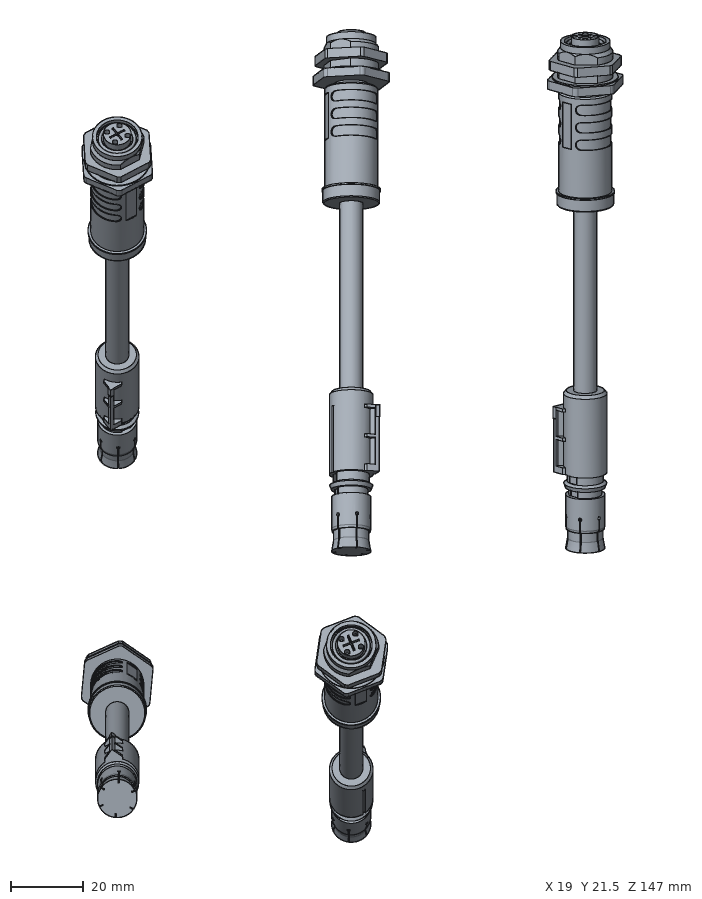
import cadquery as cq
import math

TOP_Z = 147
COLLAR_TOP_Z = 145.7
COLLAR_BOTTOM_Z = 143.8
THREAD_TOP_Z = 142.7
NUT_TOP_Z, NUT_BOTTOM_Z = 140.7, 138.0
FLANGE_TOP_Z, FLANGE_BOTTOM_Z = 135.1, 132.6
BODY_TOP_Z, BODY_BOTTOM_Z = 131.4, 102.6
CUFF_BOTTOM_Z = 98.6

SLEEVE_TOP_Z, SLEEVE_BOTTOM_Z = 45.3, 21.8
RING_TOP_Z, RING_BOTTOM_Z = 19.3, 17.5
COLLET_TOP_Z = 15.5
GROOVE_TOP_Z = 5.6
FLARE_TOP_Z = 3

PLUG_R = 7.6 / 2
COLLAR_R = 13.7 / 2
THREAD_R = 15.3 / 2
SEAL_R = 18.2 / 2
NECK_R = 9.1 / 2
BODY_R = 14.7 / 2
LIP_R = 16.2 / 2
CUFF_R = 15.7 / 2
CABLE_R = 6.5 / 2
SLEEVE_R = 12.0 / 2
UPPER_NECK_R = 10.0 / 2
LOWER_NECK_R = 9.1 / 2
RING_R = 11.9 / 2
COLLET_R = 10.9 / 2
COLLET_GROOVE_R = 9.8 / 2

SEAT_R = 5.7
SEAT_DEPTH = 1.2
O_RING_R = 9.5 / 2
O_RING_SECTION_R = 0.51
CONTACT_OFFSET = 2.0
CONTACT_R = 0.7
CONTACT_DEPTH = 3
CROSS_LENGTH = 4.7
CROSS_WIDTH = 0.5
CROSS_DEPTH = 1.5

THREAD_FLAT_ANGLES = (0, 45, 180, 225)
THREAD_FLAT_DISTANCE = COLLAR_R
NUT_ACROSS_FLATS = 18.1
NUT_CORNER_R = 10.1
FLANGE_ACROSS_FLATS = 19.0
FLANGE_CORNER_FILLET = 1.5
SEAL_HEIGHT = 0.37

GRIP_DEPTH = 0.3
GRIP_HEIGHT = 3
GRIP_PITCH = 5.0
GRIP_COUNT = 3
GRIP_TOP_Z = 129.2
GRIP_END_Y = 3
PANEL_WIDTH = 3.4

HOLDER_REACH = 6.2
HOLDER_BEVEL = 0.6
HOLDER_ARM_START = 2.0
HOLDER_POST = 1.0
HOLDER_WEB = 0.5
HOLDER_PAD_REACH = 6.3
HOLDER_PAD_HEIGHT = 3.4
HOLDER_TOP_Z = 40.5
HOLDER_ARMS = ((39.7, HOLDER_TOP_Z), (31.3, 32.2), (SLEEVE_BOTTOM_Z, 23.7))
SLOT_Y = -1.5
SLOT_WIDTH = 0.7
SLOT_DEPTH = 0.6

COLLET_SLIT_COUNT = 6
COLLET_SLIT_WIDTH = 0.3
COLLET_SLIT_DEPTH = 1.0
RELIEF_HOLE_R = 0.5
RELIEF_HOLE_Z = 9.5
KEY_WIDTH = 2.6
KEY_DEPTH = 0.5


def cylinder(radius, bottom, top):
    return cq.Workplane("XY").workplane(offset=bottom).circle(radius).extrude(top - bottom)


def block(x_range, y_range, z_range):
    """Box spanning the given (low, high) pairs."""
    sizes = [high - low for low, high in (x_range, y_range, z_range)]
    corner = (x_range[0], y_range[0], z_range[0])
    return cq.Workplane("XY").box(*sizes, centered=False).translate(corner)


def revolve_profile(points):
    """Solid of revolution about Z from (radius, z) points."""
    return cq.Workplane("XZ").polyline(points).close().revolve(360, (0, 0, 0), (0, 1, 0))


def hexagon(across_flats, bottom, top):
    """Hexagonal prism with flats facing +X and -X."""
    corner_diameter = across_flats / math.cos(math.pi / 6)
    prism = cq.Workplane("XY").polygon(6, corner_diameter).extrude(top - bottom)
    return prism.rotate((0, 0, 0), (0, 0, 1), 30).translate((0, 0, bottom))


def make_top_turned():
    """Turned core: plug, collar, threaded shank, neck, body and cuff."""
    lip_height = 0.5
    body_edge = 0.5
    cuff_edge = 0.3
    return revolve_profile([
        (0, TOP_Z),
        (PLUG_R, TOP_Z),
        (PLUG_R, COLLAR_TOP_Z),
        (COLLAR_R, COLLAR_TOP_Z),
        (COLLAR_R, COLLAR_BOTTOM_Z),
        (THREAD_R, THREAD_TOP_Z),
        (THREAD_R, FLANGE_TOP_Z),
        (SEAL_R, FLANGE_TOP_Z),
        (SEAL_R, FLANGE_BOTTOM_Z),
        (NECK_R, FLANGE_BOTTOM_Z),
        (NECK_R, BODY_TOP_Z),
        (BODY_R - body_edge, BODY_TOP_Z),
        (BODY_R, BODY_TOP_Z - body_edge),
        (BODY_R, BODY_BOTTOM_Z),
        (LIP_R, BODY_BOTTOM_Z),
        (LIP_R, BODY_BOTTOM_Z - lip_height),
        (CUFF_R, BODY_BOTTOM_Z - lip_height),
        (CUFF_R, CUFF_BOTTOM_Z + cuff_edge),
        (CUFF_R - cuff_edge, CUFF_BOTTOM_Z),
        (0, CUFF_BOTTOM_Z),
    ])


def cut_thread_flats(part):
    """Flats along the shank, each at the same distance from the axis."""
    for angle in THREAD_FLAT_ANGLES:
        cutter = block(
            (THREAD_FLAT_DISTANCE, THREAD_R),
            (-THREAD_R, THREAD_R),
            (FLANGE_TOP_Z, COLLAR_BOTTOM_Z),
        )
        part = part.cut(cutter.rotate((0, 0, 0), (0, 0, 1), angle))
    return part


def cut_plug_face(part):
    """Ring seat with an O-ring, four contact holes and a cross slot."""
    seat_floor = COLLAR_TOP_Z - SEAT_DEPTH
    seat = cylinder(SEAT_R, seat_floor, COLLAR_TOP_Z).cut(cylinder(PLUG_R, seat_floor, COLLAR_TOP_Z))
    o_ring = cq.Workplane("XZ").center(O_RING_R, seat_floor + O_RING_SECTION_R / 2)
    o_ring = o_ring.circle(O_RING_SECTION_R).revolve(360, (-O_RING_R, 0, 0), (-O_RING_R, 1, 0))
    contacts = cq.Workplane("XY").workplane(offset=TOP_Z - CONTACT_DEPTH)
    contacts = contacts.rect(2 * CONTACT_OFFSET, 2 * CONTACT_OFFSET, forConstruction=True)
    contacts = contacts.vertices().circle(CONTACT_R).extrude(CONTACT_DEPTH)
    bar = cq.Workplane("XY").workplane(offset=TOP_Z - CROSS_DEPTH)
    cross = bar.rect(CROSS_LENGTH, CROSS_WIDTH).extrude(CROSS_DEPTH)
    cross = cross.union(bar.rect(CROSS_WIDTH, CROSS_LENGTH).extrude(CROSS_DEPTH))
    return part.cut(seat).union(o_ring).cut(contacts).cut(cross)


def make_nut():
    """Hexagonal lock nut with its corners turned down."""
    nut = hexagon(NUT_ACROSS_FLATS, NUT_BOTTOM_Z, NUT_TOP_Z)
    nut = nut.intersect(cylinder(NUT_CORNER_R, NUT_BOTTOM_Z, NUT_TOP_Z))
    return nut.cut(cylinder(COLLAR_R, NUT_BOTTOM_Z, NUT_TOP_Z))


def make_flange():
    """Hexagonal flange with rounded corners and a seal washer on top."""
    flange = hexagon(FLANGE_ACROSS_FLATS, FLANGE_BOTTOM_Z, FLANGE_TOP_Z)
    flange = flange.edges("|Z").fillet(FLANGE_CORNER_FILLET)
    return flange.union(cylinder(SEAL_R, FLANGE_TOP_Z, FLANGE_TOP_Z + SEAL_HEIGHT))


def cut_grip(part):
    """Round-ended finger grooves on the +Y and -Y sides, flat panels on +X and -X."""
    length = BODY_R
    floor_r = BODY_R - GRIP_DEPTH
    grip_bottom = GRIP_TOP_Z - (GRIP_COUNT - 1) * GRIP_PITCH - GRIP_HEIGHT
    shell = cylinder(BODY_R, grip_bottom, GRIP_TOP_Z).cut(cylinder(floor_r, grip_bottom, GRIP_TOP_Z))
    for row in range(GRIP_COUNT):
        center_z = GRIP_TOP_Z - GRIP_HEIGHT / 2 - row * GRIP_PITCH
        for side in (-1, 1):
            center_y = side * (GRIP_END_Y + length / 2)
            groove = cq.Workplane("YZ").center(center_y, center_z).slot2D(length, GRIP_HEIGHT)
            part = part.cut(groove.extrude(BODY_R, both=True).intersect(shell))
    half_panel = PANEL_WIDTH / 2
    for x_range in ((floor_r, BODY_R), (-BODY_R, -floor_r)):
        part = part.cut(block(x_range, (-half_panel, half_panel), (grip_bottom, GRIP_TOP_Z)))
    return part


def make_bottom_turned():
    """Turned core: sleeve, necks, ridge ring and flared collet."""
    shoulder_height = 0.9
    shoulder_width = 0.7
    ring_rim = 0.5
    ring_peak_z = RING_BOTTOM_Z + 2 * (RING_TOP_Z - RING_BOTTOM_Z) / 3
    bevel_height = 0.7
    bevel_width = 0.1
    return revolve_profile([
        (0, SLEEVE_TOP_Z),
        (SLEEVE_R - shoulder_width, SLEEVE_TOP_Z),
        (SLEEVE_R, SLEEVE_TOP_Z - shoulder_height),
        (SLEEVE_R, SLEEVE_BOTTOM_Z),
        (UPPER_NECK_R, SLEEVE_BOTTOM_Z),
        (UPPER_NECK_R, RING_TOP_Z),
        (RING_R, ring_peak_z),
        (RING_R - ring_rim, RING_BOTTOM_Z),
        (LOWER_NECK_R, RING_BOTTOM_Z),
        (LOWER_NECK_R, COLLET_TOP_Z),
        (COLLET_R, COLLET_TOP_Z),
        (COLLET_R, GROOVE_TOP_Z + bevel_height),
        (COLLET_R - bevel_width, GROOVE_TOP_Z),
        (COLLET_GROOVE_R, GROOVE_TOP_Z),
        (COLLET_GROOVE_R, FLARE_TOP_Z),
        (COLLET_R, 0),
        (0, 0),
    ])


def make_label_holder():
    """Holder at the +X, -Y side: thin radial web, corner post with a raised pad, and three arms."""
    reach = HOLDER_REACH
    bevel_start = HOLDER_ARM_START + HOLDER_BEVEL
    arm_outline = [
        (0, 0),
        (HOLDER_ARM_START, HOLDER_BEVEL - reach),
        (bevel_start, -reach),
        (reach, -reach),
        (reach, -bevel_start),
        (reach - HOLDER_BEVEL, -HOLDER_ARM_START),
    ]
    z_range = (SLEEVE_BOTTOM_Z, HOLDER_TOP_Z)
    holder = block((reach - HOLDER_POST, reach), (-reach, HOLDER_POST - reach), z_range)
    pad_z_range = (HOLDER_TOP_Z - HOLDER_PAD_HEIGHT, HOLDER_TOP_Z)
    pad_inner = reach - HOLDER_POST
    pad = block((pad_inner, HOLDER_PAD_REACH), (-HOLDER_PAD_REACH, -pad_inner), pad_z_range)
    holder = holder.union(pad)
    web_length = (reach - HOLDER_POST / 2) * math.sqrt(2)
    web = block((0, web_length), (-HOLDER_WEB / 2, HOLDER_WEB / 2), z_range)
    holder = holder.union(web.rotate((0, 0, 0), (0, 0, 1), -45))
    for bottom, top in HOLDER_ARMS:
        arm = cq.Workplane("XY").workplane(offset=bottom).polyline(arm_outline).close()
        holder = holder.union(arm.extrude(top - bottom))
    return holder


def cut_sleeve_slot(part):
    """Narrow lengthwise slot on the -X side of the sleeve."""
    return part.cut(block(
        (-SLEEVE_R, SLOT_DEPTH - SLEEVE_R),
        (SLOT_Y - SLOT_WIDTH / 2, SLOT_Y + SLOT_WIDTH / 2),
        (SLEEVE_BOTTOM_Z, HOLDER_TOP_Z),
    ))


def cut_neck_keys(part):
    """Key flats on the +X and -X sides of both necks."""
    necks = (
        (UPPER_NECK_R, (RING_TOP_Z, SLEEVE_BOTTOM_Z)),
        (LOWER_NECK_R, (COLLET_TOP_Z, RING_BOTTOM_Z)),
    )
    for radius, z_range in necks:
        for x_range in ((radius - KEY_DEPTH, radius), (-radius, KEY_DEPTH - radius)):
            part = part.cut(block(x_range, (-KEY_WIDTH / 2, KEY_WIDTH / 2), z_range))
    return part


def cut_collet_slits(part):
    """Slits up from the collet end, each closed by a round relief hole."""
    x_range = (COLLET_R - COLLET_SLIT_DEPTH, COLLET_R)
    slit = block(x_range, (-COLLET_SLIT_WIDTH / 2, COLLET_SLIT_WIDTH / 2), (0, RELIEF_HOLE_Z))
    hole = cq.Workplane("YZ").workplane(offset=x_range[0]).center(0, RELIEF_HOLE_Z)
    slit = slit.union(hole.circle(RELIEF_HOLE_R).extrude(COLLET_SLIT_DEPTH))
    for index in range(COLLET_SLIT_COUNT):
        angle = 30 + index * 360 / COLLET_SLIT_COUNT
        part = part.cut(slit.rotate((0, 0, 0), (0, 0, 1), angle))
    return part


top_connector = cut_thread_flats(make_top_turned())
top_connector = cut_plug_face(top_connector).union(make_nut()).union(make_flange())
top_connector = cut_grip(top_connector)

bottom_connector = make_bottom_turned().union(make_label_holder())
bottom_connector = cut_sleeve_slot(bottom_connector)
bottom_connector = cut_neck_keys(bottom_connector)
bottom_connector = cut_collet_slits(bottom_connector)

cable = cylinder(CABLE_R, SLEEVE_TOP_Z, CUFF_BOTTOM_Z)
result = top_connector.union(cable).union(bottom_connector)